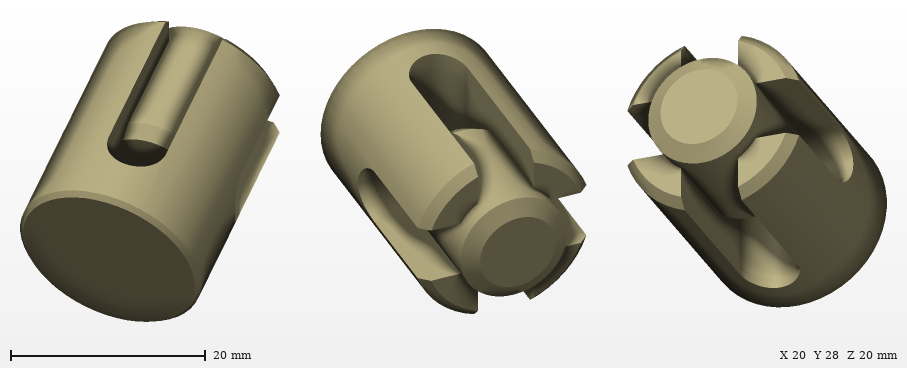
import cadquery as cq
import math

total_length = 28.0
housing_length = 25.0

housing_diameter = 20.0
closed_end_chamfer = 0.5
open_end_chamfer = 1.0

slot_width = 6.3
vertical_slot_start = 5.0
cross_slot_start = 10.0

pin_diameter = 11.98
pin_start = 12.07
pin_tip_length = 1.5
pin_tip_angle = 30.0
pin_head_chamfer_length = 1.0
pin_head_chamfer_angle = 60.0

housing_radius = housing_diameter / 2
pin_radius = pin_diameter / 2


def revolve_about_y(profile):
    """Revolve a closed XY profile a full turn about the Y axis."""
    return profile.revolve(360, (0, 0, 0), (0, 1, 0))


def make_housing_blank():
    """Solid cylinder with both ends chamfered."""
    profile = (
        cq.Workplane("XY")
        .lineTo(housing_radius - closed_end_chamfer, 0)
        .lineTo(housing_radius, closed_end_chamfer)
        .lineTo(housing_radius, housing_length - open_end_chamfer)
        .lineTo(housing_radius - open_end_chamfer, housing_length)
        .lineTo(0, housing_length)
        .close()
    )
    return revolve_about_y(profile)


def make_slot_cutter(slot_start):
    """Slot running through along Z, open at the far end of the housing."""
    half_width = slot_width / 2
    arc_centre = slot_start + half_width
    return (
        cq.Workplane("XY")
        .moveTo(-half_width, housing_length)
        .lineTo(-half_width, arc_centre)
        .threePointArc((0, slot_start), (half_width, arc_centre))
        .lineTo(half_width, housing_length)
        .close()
        .extrude(housing_radius, both=True)
    )


def make_pin():
    """Turned pin with a tapered inner tip and a chamfered outer head."""
    tip_radius = pin_radius - pin_tip_length * math.tan(math.radians(pin_tip_angle))
    head_chamfer = pin_head_chamfer_length * math.tan(math.radians(pin_head_chamfer_angle))
    head_radius = pin_radius - head_chamfer
    profile = (
        cq.Workplane("XY")
        .moveTo(0, pin_start)
        .lineTo(tip_radius, pin_start)
        .lineTo(pin_radius, pin_start + pin_tip_length)
        .lineTo(pin_radius, total_length - pin_head_chamfer_length)
        .lineTo(head_radius, total_length)
        .lineTo(0, total_length)
        .close()
    )
    return revolve_about_y(profile)


def make_housing(pin):
    """Slotted housing whose bore matches the pin, including its tapered tip."""
    vertical_slot = make_slot_cutter(vertical_slot_start)
    cross_slot = make_slot_cutter(cross_slot_start).rotate((0, 0, 0), (0, 1, 0), 90)
    return make_housing_blank().cut(pin).cut(vertical_slot).cut(cross_slot)


pin = make_pin()
housing = make_housing(pin)
result = cq.Compound.makeCompound([housing.val(), pin.val()])